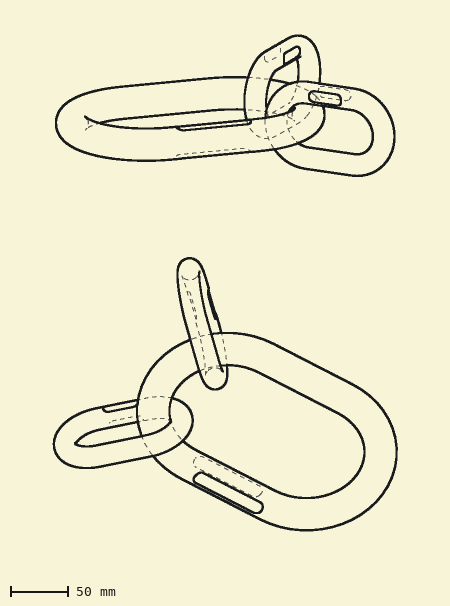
import cadquery as cq
import math

assembly_length = 269.6
assembly_width = 223.3

master_wire = 28.0
master_inner_width = 100.0
master_straight = 80.0
master_flat_length = 67.5
master_flat_width = 12.0

coupling_wire = 19.0
coupling_inner_width = 40.2
coupling_straight = 45.0
coupling_flat_length = 31.3
coupling_flat_width = 10.0
coupling_angle = 45.0

cutter_radius = 9.7


def link_length(wire, inner_width, straight):
    return straight + inner_width + 2 * wire


def flat_cutter(wire, length, width):
    """Tool that mills a flat into the +Z side of a straight wire lying along Y."""
    wire_radius = wire / 2
    floor_height = math.sqrt(wire_radius**2 - (width / 2)**2)
    depth = wire_radius - floor_height
    run_out = math.sqrt(2 * cutter_radius * depth - depth**2)
    half_floor = length / 2 - run_out
    far_end = half_floor + cutter_radius
    arc_height = floor_height + cutter_radius
    mid_y = half_floor + cutter_radius * math.sin(math.radians(45))
    mid_z = arc_height - cutter_radius * math.cos(math.radians(45))
    return (
        cq.Workplane("YZ")
        .moveTo(-half_floor, floor_height)
        .lineTo(half_floor, floor_height)
        .threePointArc((mid_y, mid_z), (far_end, arc_height))
        .lineTo(-far_end, arc_height)
        .threePointArc((-mid_y, mid_z), (-half_floor, floor_height))
        .close()
        .extrude(wire_radius, both=True)
    )


def link(wire, inner_width, straight, flat_length, flat_width):
    """Oval link in the XY plane, long along Y, with a flat on both faces of its +X leg."""
    bend_radius = (inner_width + wire) / 2
    half_straight = straight / 2
    centre_line = (
        cq.Workplane("XY")
        .moveTo(bend_radius, -half_straight)
        .lineTo(bend_radius, half_straight)
        .threePointArc((0, half_straight + bend_radius), (-bend_radius, half_straight))
        .lineTo(-bend_radius, -half_straight)
        .threePointArc((0, -half_straight - bend_radius), (bend_radius, -half_straight))
        .close()
    )
    body = (
        cq.Workplane("XZ", origin=(bend_radius, -half_straight, 0))
        .circle(wire / 2)
        .sweep(centre_line)
    )
    upper_tool = flat_cutter(wire, flat_length, flat_width).translate((bend_radius, 0, 0))
    lower_tool = upper_tool.mirror("XY")
    return body.cut(upper_tool).cut(lower_tool).solids()


def master_link():
    return link(
        master_wire,
        master_inner_width,
        master_straight,
        master_flat_length,
        master_flat_width,
    )


def coupling_link(side):
    """Upright link on the -X (side = -1) or +X (side = 1) side, its flats on the top leg."""
    angle = math.radians(coupling_angle)
    length = link_length(coupling_wire, coupling_inner_width, coupling_straight)
    centre_line_length = length - coupling_wire
    half_extent_x = (centre_line_length * math.sin(angle) + coupling_wire) / 2
    half_extent_y = (centre_line_length * math.cos(angle) + coupling_wire) / 2
    master_length = link_length(master_wire, master_inner_width, master_straight)
    centre = (
        side * (assembly_width / 2 - half_extent_x),
        assembly_length - master_length / 2 - half_extent_y,
        0,
    )
    long_axis = cq.Vector(side * math.sin(angle), math.cos(angle), 0)
    up = cq.Vector(0, 0, 1)
    plane = cq.Plane(origin=centre, xDir=up, normal=up.cross(long_axis))
    upright_link = link(
        coupling_wire,
        coupling_inner_width,
        coupling_straight,
        coupling_flat_length,
        coupling_flat_width,
    )
    return upright_link.val().moved(cq.Location(plane))


master = master_link()
couplings = [coupling_link(side) for side in (-1, 1)]

result = cq.Compound.makeCompound([master.val(), *couplings])